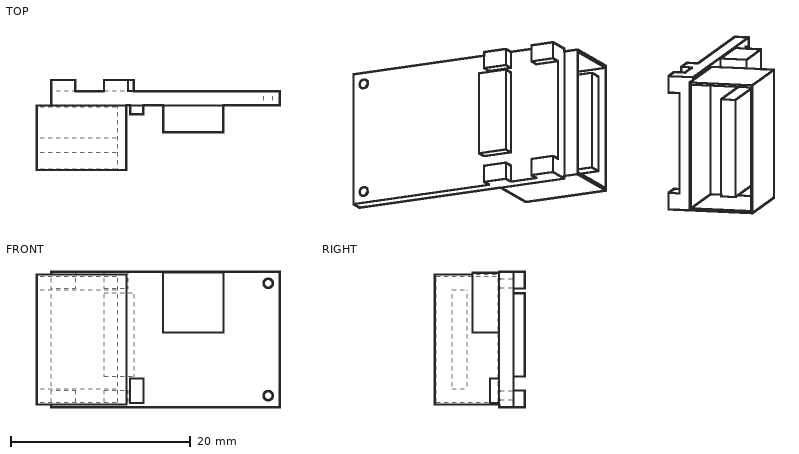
import cadquery as cq

board_length = 25.5
board_thickness = 1.6
board_height = 15.11
board_top = board_height / 2
board_bottom = -board_height / 2

hole_diameter = 1.0
hole_inset = 1.3

shell_overhang = 1.61
shell_length = 10.0
shell_depth = 7.2
shell_height = 14.5
shell_side_wall = 0.15
shell_end_wall = 0.25
cavity_length = 9.0

tongue_thickness = 1.65
tongue_height = 11.0
tongue_front_offset = 1.95

chip_size = 6.7
chip_depth = 3.0
chip_left = 12.5
chip_top_gap = 0.1

component_width = 1.5
component_depth = 1.0
component_height = 2.7
component_left = 8.8
component_bottom_gap = 0.5

back_depth = 1.26
foot_width = 2.7
foot_height = 1.88
foot_lefts = (0.0, 5.88)
block_left = foot_lefts[1]
block_width = 3.35
block_height = 9.3
block_top_gap = 2.4


def box(left, front, bottom, size_x, size_y, size_z):
    """Box placed by its left, front and bottom faces."""
    solid = cq.Workplane("XY").box(size_x, size_y, size_z, centered=False)
    return solid.translate((left, front, bottom))


def make_board():
    board = box(0, 0, board_bottom, board_length, board_thickness, board_height)
    hole_x = board_length - hole_inset
    hole_z = board_top - hole_inset
    holes = (
        cq.Workplane("XZ")
        .pushPoints([(hole_x, hole_z), (hole_x, -hole_z)])
        .circle(hole_diameter / 2)
        .extrude(-board_thickness)
    )
    return board.cut(holes)


def make_connector():
    left = -shell_overhang
    shell = box(left, -shell_depth, -shell_height / 2, shell_length, shell_depth, shell_height)
    cavity_depth = shell_depth - 2 * shell_side_wall
    cavity_height = shell_height - 2 * shell_end_wall
    cavity = box(
        left, -shell_depth + shell_side_wall, -cavity_height / 2,
        cavity_length, cavity_depth, cavity_height,
    )
    tongue = box(
        left, -shell_depth + tongue_front_offset, -tongue_height / 2,
        cavity_length, tongue_thickness, tongue_height,
    )
    return shell.cut(cavity).union(tongue)


def make_chip():
    bottom = board_top - chip_top_gap - chip_size
    return box(chip_left, -chip_depth, bottom, chip_size, chip_depth, chip_size)


def make_component():
    bottom = board_bottom + component_bottom_gap
    return box(
        component_left, -component_depth, bottom,
        component_width, component_depth, component_height,
    )


def make_feet():
    feet = cq.Workplane("XY")
    for left in foot_lefts:
        for bottom in (board_bottom, board_top - foot_height):
            feet = feet.add(box(left, board_thickness, bottom, foot_width, back_depth, foot_height))
    return feet.combine()


def make_back_block():
    bottom = board_top - block_top_gap - block_height
    return box(block_left, board_thickness, bottom, block_width, back_depth, block_height)


result = (
    make_board()
    .union(make_connector())
    .union(make_chip())
    .union(make_component())
    .union(make_feet())
    .union(make_back_block())
)